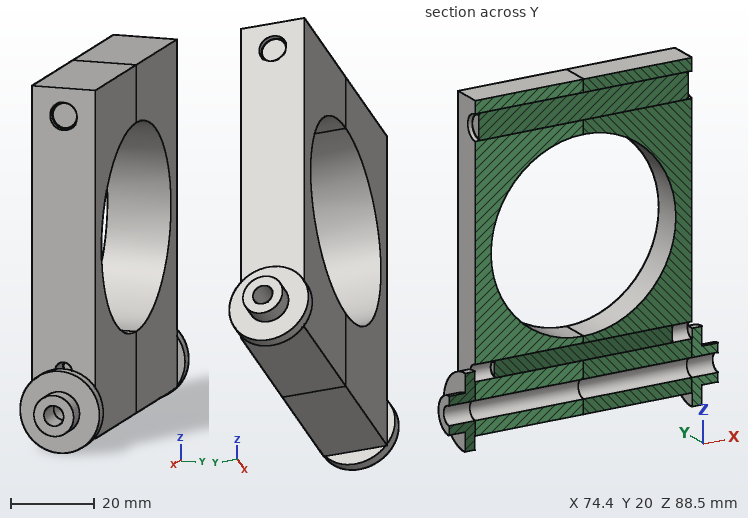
import cadquery as cq

OVERALL_WIDTH = 74.4
OVERALL_HEIGHT = 88.5

CLAMP_WIDTH = 60.0
CLAMP_DEPTH = 16.0
CLAMP_HEIGHT = 85.0
HALF_WIDTH = CLAMP_WIDTH / 2
CLAMP_BOTTOM_Z = OVERALL_HEIGHT - CLAMP_HEIGHT
BORE_DIAMETER = 51.0
BORE_Z = OVERALL_HEIGHT - 39.6

FLANGE_DIAMETER = 20.0
FLANGE_THICKNESS = 2.8
SPIGOT_DIAMETER = 10.0
SPIGOT_LENGTH = (OVERALL_WIDTH - CLAMP_WIDTH) / 2 - FLANGE_THICKNESS
PIVOT_DIAMETER = 5.0
PIVOT_Z = FLANGE_DIAMETER / 2

UPPER_SCREW_DIAMETER = 6.8
UPPER_SCREW_Z = OVERALL_HEIGHT - 6.9
UPPER_SCREW_RECESS = 1.0
UPPER_SCREW_CHAMFER = 0.4
LOWER_SCREW_DIAMETER = 4.25
LOWER_SCREW_Z = OVERALL_HEIGHT - 69.0
LOWER_SCREW_RECESS = 5.3
LOWER_SCREW_CHAMFER = 0.35


def rod(start_x, length, diameter, z):
    """Cylinder along X at Y = 0 and height z; a negative length runs it toward -X."""
    return cq.Workplane("YZ", origin=(start_x, 0, z)).circle(diameter / 2).extrude(length)


def make_clamp_half(side):
    """Half of the block on the given side (-1 or +1) of the joint plane."""
    block = cq.Workplane("XY", origin=(side * HALF_WIDTH / 2, 0, CLAMP_BOTTOM_Z)).box(
        HALF_WIDTH, CLAMP_DEPTH, CLAMP_HEIGHT, centered=(True, True, False)
    )
    bore = (
        cq.Workplane("XZ", origin=(0, 0, BORE_Z))
        .circle(BORE_DIAMETER / 2)
        .extrude(CLAMP_DEPTH / 2, both=True)
    )
    half = block.cut(bore)
    cross_holes = (
        (UPPER_SCREW_DIAMETER, UPPER_SCREW_Z),
        (LOWER_SCREW_DIAMETER, LOWER_SCREW_Z),
        (PIVOT_DIAMETER, PIVOT_Z),
    )
    for diameter, z in cross_holes:
        half = half.cut(rod(-HALF_WIDTH, CLAMP_WIDTH, diameter, z))
    return half


def make_bushing(side):
    """Flange against the clamp's outer face, with a spigot pointing away from it."""
    flange = rod(side * HALF_WIDTH, side * FLANGE_THICKNESS, FLANGE_DIAMETER, PIVOT_Z)
    spigot = rod(side * (HALF_WIDTH + FLANGE_THICKNESS), side * SPIGOT_LENGTH, SPIGOT_DIAMETER, PIVOT_Z)
    pivot_hole = rod(-OVERALL_WIDTH / 2, OVERALL_WIDTH, PIVOT_DIAMETER, PIVOT_Z)
    return flange.union(spigot).cut(pivot_hole)


def make_screw(diameter, z, recess, chamfer):
    """Headless screw across both halves, chamfered at both ends."""
    length = CLAMP_WIDTH - 2 * recess
    return rod(-length / 2, length, diameter, z).faces("<X or >X").chamfer(chamfer)


SIDES = (-1, 1)
clamp_halves = [make_clamp_half(side) for side in SIDES]
bushings = [make_bushing(side) for side in SIDES]
upper_screw = make_screw(UPPER_SCREW_DIAMETER, UPPER_SCREW_Z, UPPER_SCREW_RECESS, UPPER_SCREW_CHAMFER)
lower_screw = make_screw(LOWER_SCREW_DIAMETER, LOWER_SCREW_Z, LOWER_SCREW_RECESS, LOWER_SCREW_CHAMFER)

bodies = [*clamp_halves, *bushings, upper_screw, lower_screw]
result = cq.Compound.makeCompound([body.val() for body in bodies])